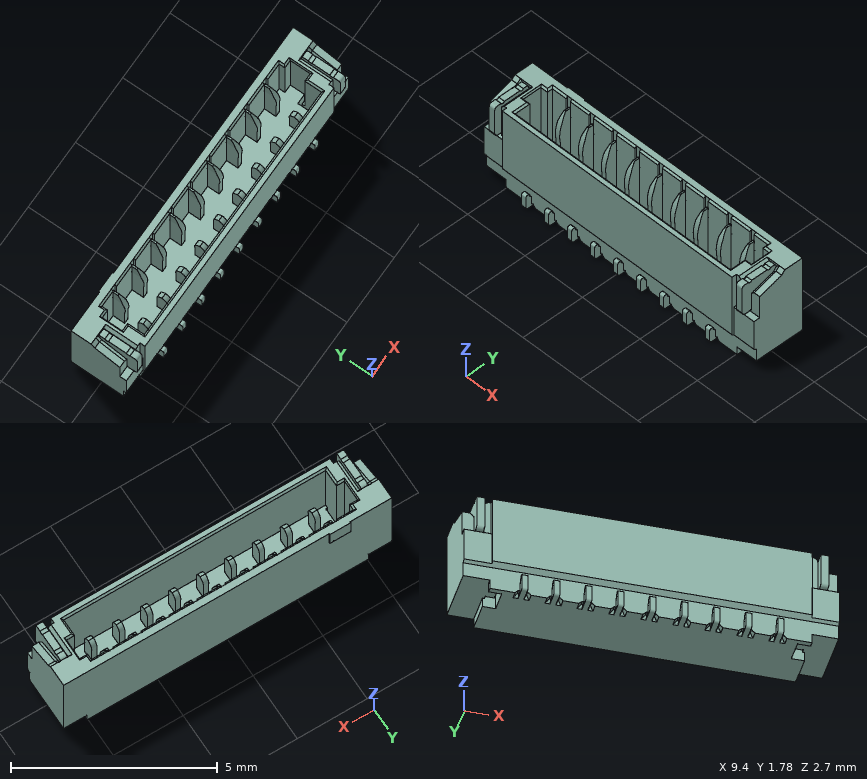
import cadquery as cq
import math


EPS = 0.01

contact_count = 9
pitch = 0.8
contact_width = 0.15

length = 9.4
height = 2.7
back_y = 0.86
foot_front_y = -0.69
shoulder_front_y = -0.775
middle_front_y = -0.835
middle_half = 4.0
foot_half = 4.03
foot_height = 0.26
slope_z = 0.66
slope_rise = 0.65

key_center_x = -3.2
key_width = 0.6
key_height = 0.5
key_depth = 0.03

floor_z = 0.7
cavity_half = 3.75
cavity_back_y = 0.61
cavity_front_y = -0.64
wing_half = 3.98
wing_back_y = 0.44
wing_front_y = -0.15
lip = 0.055
wing_lip = 0.03

window_inner_x = 3.70
window_back_y = 0.02
window_front_y = -0.555
ramp_width = 0.09
ramp_fall = 0.06

ledge_z = 1.65
outer_wall_front_y = -0.58
inner_wall_front_y = -0.685
outer_wall_drop_z = 2.36
ramp_top = (0.155, 2.59)
pocket_back_y = 0.265
pocket_inner_x = 4.175
pocket_chamfer = 0.09
wall_bevel = 0.1

plate_center_x = 4.305
plate_width = 0.2
plate_front_y = -0.89
plate_overhang_z = 1.71
plate_top_round = 0.09
plate_bottom_round = 0.12
plate_heel_round = 0.1
groove_half_width = 0.055
groove_depth = 0.035
groove_positions = (0.015, -0.62)

blade_front_y = 0.27
blade_bulge_z = 1.5
blade_tip_y = 0.5
blade_tip_z = 2.36
blade_groove_y = cavity_back_y + lip
tip_taper_z = 2.1
tip_width = 0.05

beam_back_y = -0.125
beam_crown_y = -0.275
beam_front_y = -0.44
beam_height = 1.6
beam_bulge_z = 1.3

tail_front_y = -0.89
tail_back_y = -0.75
tail_height = 0.46
tail_root_z = 0.31
tail_round = 0.055
tail_inner_y = -0.44
relief_half = 0.2
relief_height = 0.085
tail_heel_round = 0.085


def box(x0, x1, y0, y1, z0, z1):
    return cq.Workplane("XY").box(x1 - x0, y1 - y0, z1 - z0, centered=False).translate((x0, y0, z0))


def side_profile():
    """Workplane for Y-Z outlines; extrusion goes along +X."""
    return cq.Workplane("YZ")


def on_both_ends(solid):
    return solid.union(solid.mirror("YZ"))


def front_block(half, front_y):
    """Block whose underside rises forward from the foot."""
    front_z = slope_z + slope_rise * (foot_front_y - front_y)
    outline = [
        (back_y, foot_height),
        (foot_front_y, foot_height),
        (foot_front_y, slope_z),
        (front_y, front_z),
        (front_y, height),
        (back_y, height),
    ]
    return side_profile().polyline(outline).close().extrude(half, both=True)


def make_body():
    foot = box(-foot_half, foot_half, foot_front_y, back_y, 0, foot_height)
    key_x0 = key_center_x - key_width / 2
    key = box(key_x0, key_x0 + key_width, back_y - EPS, back_y + key_depth, height - key_height, height)
    body = front_block(length / 2, shoulder_front_y).union(front_block(middle_half, middle_front_y))
    return body.union(foot).union(key)


def cavity_outline(z, grow, wing_grow):
    """Cross-shaped mouth outline, widened by the given amounts."""
    half = cavity_half + grow
    wing = wing_half + wing_grow
    back, front = cavity_back_y + grow, cavity_front_y - grow
    wing_back, wing_front = wing_back_y + grow, wing_front_y - grow
    right = [
        (half, front),
        (half, wing_front),
        (wing, wing_front),
        (wing, wing_back),
        (half, wing_back),
        (half, back),
    ]
    left = [(-x, y) for x, y in reversed(right)]
    return cq.Wire.makePolygon([cq.Vector(x, y, z) for x, y in right + left], close=True)


def make_cavity():
    well = cq.Solid.extrudeLinear(cavity_outline(floor_z, 0, 0), [], cq.Vector(0, 0, height - floor_z))
    mouth_wires = [cavity_outline(height - lip, 0, 0), cavity_outline(height, lip, wing_lip)]
    mouth = cq.Solid.makeLoft(mouth_wires, True)
    return cq.Workplane(well).union(cq.Workplane(mouth))


def make_windows():
    """Floor openings that also break out through the ends of the foot."""
    through = box(window_inner_x, wing_half, window_front_y, window_back_y, -EPS, floor_z + EPS)
    breakout = box(window_inner_x, foot_half + EPS, window_front_y, window_back_y, -EPS, foot_height)
    web = box(cavity_half, wing_half, window_front_y, wing_front_y, foot_height, floor_z + EPS)
    ramp_outline = [
        (wing_front_y, foot_height),
        (wing_front_y + ramp_width, foot_height),
        (wing_front_y + ramp_width, floor_z - ramp_fall),
        (wing_front_y, floor_z),
    ]
    ramp = (
        side_profile().workplane(offset=cavity_half).polyline(ramp_outline).close()
        .extrude(wing_half - cavity_half)
    )
    return on_both_ends(through.cut(web).cut(ramp).union(breakout))


def bevel_along(start, end, outer_x):
    """Bevel on the inner edge of the outer wall, running between two (Y, Z) points."""
    (y0, z0), (y1, z1) = start, end
    corners = [(outer_x, z0 - wall_bevel), (outer_x + wall_bevel, z0), (outer_x, z0)]
    section = cq.Wire.makePolygon([cq.Vector(x, y0, z) for x, z in corners], close=True)
    return cq.Workplane(cq.Solid.extrudeLinear(section, [], cq.Vector(0, y1 - y0, z1 - z0)))


def make_pockets():
    outer_x = plate_center_x + plate_width / 2
    front = middle_front_y - EPS

    wall_foot = (outer_wall_front_y, outer_wall_drop_z)
    wall_crest = (pocket_back_y, height)
    outline = [
        (front, ledge_z),
        (outer_wall_front_y, ledge_z),
        wall_foot,
        ramp_top,
        wall_crest,
        (front, height),
    ]
    sloped_wall = (
        side_profile().workplane(offset=outer_x).polyline(outline).close()
        .extrude(length / 2 + EPS - outer_x)
    )
    lower_bevel = bevel_along(wall_foot, ramp_top, outer_x)
    upper_bevel = bevel_along(ramp_top, wall_crest, outer_x)

    channel_outline = [
        (outer_x, ledge_z),
        (pocket_inner_x, ledge_z),
        (pocket_inner_x, height - pocket_chamfer),
        (pocket_inner_x - pocket_chamfer, height),
        (outer_x, height),
    ]
    channel = (
        cq.Workplane("XZ", origin=(0, pocket_back_y, 0)).polyline(channel_outline).close()
        .extrude(pocket_back_y - front)
    )
    inner_front = box(middle_half, outer_x, front, inner_wall_front_y, ledge_z, height + EPS)
    return on_both_ends(sloped_wall.union(lower_bevel).union(upper_bevel).union(channel).union(inner_front))


def make_plates():
    x0 = plate_center_x - plate_width / 2
    outline = [
        (pocket_back_y, ledge_z - EPS),
        (pocket_back_y, height),
        (plate_front_y, height),
        (plate_front_y, plate_overhang_z),
        (outer_wall_front_y, plate_overhang_z),
        (outer_wall_front_y, ledge_z - EPS),
    ]
    plate = side_profile().workplane(offset=x0).polyline(outline).close().extrude(plate_width)
    plate = plate.edges("|X and <Y and >Z").fillet(plate_top_round)
    nose_corner = (plate_center_x, plate_front_y, plate_overhang_z)
    plate = plate.edges(cq.selectors.NearestToPointSelector(nose_corner)).fillet(plate_bottom_round)
    plate = plate.edges("|X and >Y and >Z").fillet(plate_heel_round)
    groove_radius = (groove_half_width**2 + groove_depth**2) / (2 * groove_depth)
    groove_z = height + groove_radius - groove_depth
    grooves = (
        side_profile().workplane(offset=x0).pushPoints([(y, groove_z) for y in groove_positions])
        .circle(groove_radius).extrude(plate_width)
    )
    return on_both_ends(plate.cut(grooves))


def quarter_point(y0, z0, y1, z1):
    """Middle of the elliptical quarter that starts upright at (y0, z0) and ends at (y1, z1)."""
    share = math.sin(math.radians(45))
    return (y1 + (y0 - y1) * share, z0 + (z1 - z0) * share)


def make_blade():
    bulge = quarter_point(blade_front_y, blade_bulge_z, blade_tip_y, blade_tip_z)
    blade = (
        side_profile().moveTo(blade_groove_y, floor_z - EPS)
        .lineTo(blade_front_y, floor_z - EPS)
        .lineTo(blade_front_y, blade_bulge_z)
        .threePointArc(bulge, (blade_tip_y, blade_tip_z))
        .lineTo(blade_groove_y, blade_tip_z)
        .close().extrude(contact_width / 2, both=True)
    )
    half, tip_half = contact_width / 2, tip_width / 2
    taper_outline = [
        (half, floor_z - EPS),
        (half, tip_taper_z),
        (tip_half, blade_tip_z),
        (-tip_half, blade_tip_z),
        (-half, tip_taper_z),
        (-half, floor_z - EPS),
    ]
    taper = cq.Workplane("XZ").polyline(taper_outline).close().extrude(back_y, both=True)
    return blade.intersect(taper)


def make_beam():
    back = quarter_point(beam_back_y, beam_bulge_z, beam_crown_y, beam_height)
    front = quarter_point(beam_front_y, beam_bulge_z, beam_crown_y, beam_height)
    return (
        side_profile().moveTo(beam_back_y, floor_z - EPS)
        .lineTo(beam_back_y, beam_bulge_z)
        .threePointArc(back, (beam_crown_y, beam_height))
        .threePointArc(front, (beam_front_y, beam_bulge_z))
        .lineTo(beam_front_y, floor_z - EPS)
        .close().extrude(contact_width / 2, both=True)
    )


def make_tail():
    root_end_z = tail_root_z + (foot_front_y - tail_back_y)
    outline = [
        (tail_inner_y, 0),
        (tail_front_y, 0),
        (tail_front_y, tail_height),
        (tail_back_y, tail_height),
        (tail_back_y, root_end_z),
        (foot_front_y, tail_root_z),
        (tail_inner_y, tail_root_z),
    ]
    tail = side_profile().polyline(outline).close().extrude(contact_width / 2, both=True)
    tail = tail.edges("|X and >Z").fillet(tail_round)
    return tail.edges("|X and <Y and <Z").fillet(tail_heel_round)


def make_tail_relief():
    """Bevelled recess around the tail in the lower front edge of the foot."""
    return (
        cq.Workplane("XY", origin=(0, foot_front_y, 0)).rect(2 * relief_half, 2 * relief_half)
        .extrude(relief_height, taper=45)
    )


def make_blade_groove():
    half = contact_width / 2
    return box(-half, half, cavity_back_y - EPS, blade_groove_y, floor_z, height)


def along_row(solid):
    row = cq.Workplane("XY")
    for index in range(contact_count):
        x = (index - (contact_count - 1) / 2) * pitch
        row = row.add(solid.translate((x, 0, 0)))
    return row.combine()


body = make_body().cut(make_cavity()).cut(make_windows()).cut(make_pockets())
body = body.cut(along_row(make_blade_groove())).cut(along_row(make_tail_relief()))
contact_row = along_row(make_blade()).add(along_row(make_beam())).add(along_row(make_tail())).combine()
result = body.union(make_plates()).union(contact_row)